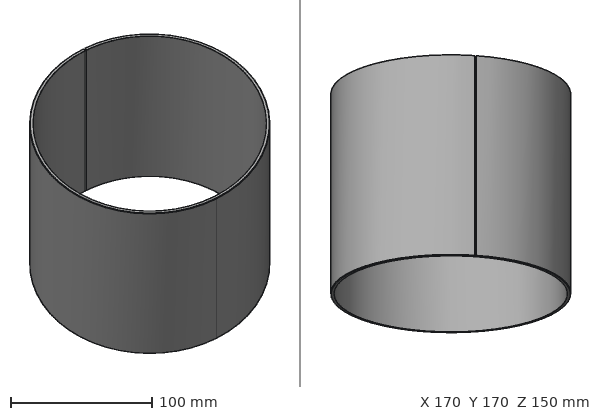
import cadquery as cq

outer_diameter = 170.0
height = 150.0
wall = 2.5
outer_chamfer = 0.5
inner_chamfer = 0.2
groove_width = 1.4
groove_offset = 0.8
web = 0.2

outer_radius = outer_diameter / 2
inner_radius = outer_radius - wall


def make_tube():
    """Thin-walled tube with both end rims chamfered, revolved about Z."""
    profile = (
        cq.Workplane("XZ")
        .moveTo(inner_radius + inner_chamfer, 0)
        .lineTo(outer_radius - outer_chamfer, 0)
        .lineTo(outer_radius, outer_chamfer)
        .lineTo(outer_radius, height - outer_chamfer)
        .lineTo(outer_radius - outer_chamfer, height)
        .lineTo(inner_radius + inner_chamfer, height)
        .lineTo(inner_radius, height - inner_chamfer)
        .lineTo(inner_radius, inner_chamfer)
        .close()
    )
    return profile.revolve(360, (0, 0, 0), (0, 1, 0))


def make_groove():
    """Full-height cutter on the -X side with a floor concentric with the bore."""
    slot = (
        cq.Workplane("XY")
        .center(-outer_radius, groove_offset)
        .rect(4 * wall, groove_width)
        .extrude(height)
    )
    core = cq.Workplane("XY").circle(inner_radius + web).extrude(height)
    return slot.cut(core)


result = make_tube().cut(make_groove())